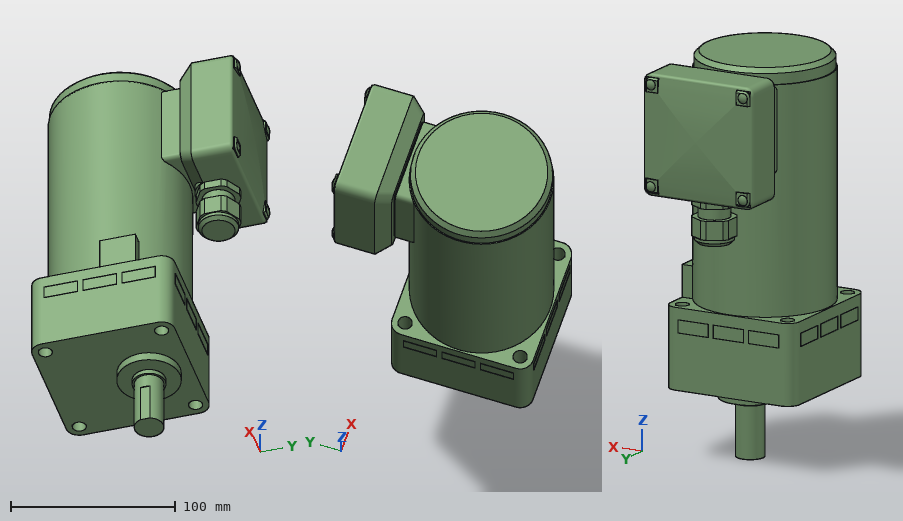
import cadquery as cq
import math

GEARHEAD_SIDE = 90.0
GEARHEAD_BOTTOM = 42.7
GEARHEAD_TOP = 95.0
GEARHEAD_CORNER_RADIUS = 8.3
MOUNT_HOLE_DIAMETER = 8.5
MOUNT_HOLE_SPACING = 73.5
PANEL_COUNT = 3
PANEL_WIDTH = 21.0
PANEL_HEIGHT = 8.3
PANEL_PITCH = 24.5
PANEL_CENTRE_Z = 83.0
PANEL_DEPTH = 0.3
SHAFT_OFFSET_Y = 18.0
SHAFT_DIAMETER = 18.0
SHAFT_COLLAR_DIAMETER = 20.5
SHAFT_COLLAR_BOTTOM = 34.1
BOSS_DIAMETER = 39.2
BOSS_BOTTOM = 37.1
FLAT_DEPTH = 0.5
FLAT_LENGTH = 25.0

MOTOR_TOP = 251.0
MOTOR_RADIUS = 44.0
CAP_RADIUS = 43.2
CAP_HEIGHT = 10.0
CAP_CHAMFER = 3.0
LEAD_BLOCK_WIDTH = 22.5
LEAD_BLOCK_HEIGHT = 20.5

OVERALL_DEPTH = 130.0
BOX_SIDE = 76.8
BOX_BACK_Y = 47.0
BOX_CORNER_RADIUS = 5.5
BOX_TAPER_DEPTH = 8.8
BOX_TAPER_INSET = 6.3
BOX_RIM_Y = 80.0
LID_EDGE_RADIUS = 2.0
LID_PAD_HEIGHT = 1.8
LID_PAD_CHAMFER = 1.3
LID_CORNER_INNER = 27.4
SCREW_HEAD_RADIUS = 3.3
SCREW_HEAD_HEIGHT = 1.0
SCREW_INSET = 6.3
NECK_SIDE = 55.5
NECK_CORNER_RADIUS = 3.0
GASKET_THICKNESS = 0.8
GASKET_INSET = 0.8

GLAND_Y = 62.0
GLAND_FLATS_APOTHEM = 12.8
GLAND_CORNER_RADIUS = 13.8
GLAND_SEAT_RADIUS = 14.3
GLAND_SEAT_HEIGHT = 12.5
GLAND_NECK_RADIUS = 10.0
LOCK_NUT_HEIGHT = 5.3
GLAND_NECK_HEIGHT = 7.5
CAP_NUT_HEIGHT = 12.0
GLAND_TIP_HEIGHT = 4.5
GLAND_TIP_RADIUS = 12.3
GLAND_TIP_CHAMFER = 2.3

BOX_TOP = MOTOR_TOP
BOX_CENTRE_Z = BOX_TOP - BOX_SIDE / 2
BOX_BOTTOM = BOX_TOP - BOX_SIDE
LID_TOP_Y = BOX_RIM_Y + LID_EDGE_RADIUS
LID_CROWN_Y = OVERALL_DEPTH - GEARHEAD_SIDE / 2
LID_PAD_Y = LID_TOP_Y + LID_PAD_HEIGHT
LID_CROWN_SIDE = BOX_SIDE - 2 * LID_EDGE_RADIUS


def cylinder(radius, bottom, top, y=0.0):
    """Vertical cylinder on the X = 0 plane between two heights."""
    return cq.Workplane("XY", origin=(0, y, bottom)).circle(radius).extrude(top - bottom)


def square_block(side, y_start, y_end):
    """Square block centred on the terminal box axis, running along +Y."""
    plane = cq.Plane(origin=(0, y_start, BOX_CENTRE_Z), xDir=(1, 0, 0), normal=(0, 1, 0))
    return cq.Workplane(plane).rect(side, side).extrude(y_end - y_start)


def panel_recesses():
    """Shallow rectangular recesses, one row of them on each side face."""
    recesses = cq.Workplane("XY")
    for i in range(PANEL_COUNT):
        x = (i - (PANEL_COUNT - 1) / 2) * PANEL_PITCH
        centre = (x, -GEARHEAD_SIDE / 2, PANEL_CENTRE_Z)
        recess = cq.Workplane("XY").box(PANEL_WIDTH, 2 * PANEL_DEPTH, PANEL_HEIGHT).translate(centre)
        for angle in (0, 90, 180, 270):
            recesses = recesses.add(recess.rotate((0, 0, 0), (0, 0, 1), angle))
    return recesses.combine()


def output_shaft():
    """Shaft with a collar and a flat on its +X side."""
    shaft = cylinder(SHAFT_DIAMETER / 2, 0, GEARHEAD_BOTTOM, SHAFT_OFFSET_Y)
    collar = cylinder(SHAFT_COLLAR_DIAMETER / 2, SHAFT_COLLAR_BOTTOM, GEARHEAD_BOTTOM, SHAFT_OFFSET_Y)
    flat = (
        cq.Workplane("XY", origin=(SHAFT_DIAMETER / 2 - FLAT_DEPTH, SHAFT_OFFSET_Y, 0))
        .box(SHAFT_DIAMETER, SHAFT_DIAMETER, FLAT_LENGTH, centered=(False, True, False))
    )
    return shaft.cut(flat).union(collar)


def make_gearhead():
    body = (
        cq.Workplane("XY", origin=(0, 0, GEARHEAD_BOTTOM))
        .rect(GEARHEAD_SIDE, GEARHEAD_SIDE)
        .extrude(GEARHEAD_TOP - GEARHEAD_BOTTOM)
        .edges("|Z")
        .fillet(GEARHEAD_CORNER_RADIUS)
    )
    holes = (
        cq.Workplane("XY", origin=(0, 0, GEARHEAD_BOTTOM))
        .rect(MOUNT_HOLE_SPACING, MOUNT_HOLE_SPACING, forConstruction=True)
        .vertices()
        .circle(MOUNT_HOLE_DIAMETER / 2)
        .extrude(GEARHEAD_TOP - GEARHEAD_BOTTOM)
    )
    body = body.cut(holes).cut(panel_recesses())
    boss = cylinder(BOSS_DIAMETER / 2, BOSS_BOTTOM, GEARHEAD_BOTTOM, SHAFT_OFFSET_Y)
    return body.union(boss).union(output_shaft())


def motor_can():
    """Cylindrical can with a slightly narrower chamfered end cap."""
    can = cylinder(MOTOR_RADIUS, GEARHEAD_TOP, MOTOR_TOP - CAP_HEIGHT)
    cap = cylinder(CAP_RADIUS, MOTOR_TOP - CAP_HEIGHT, MOTOR_TOP).faces(">Z").chamfer(CAP_CHAMFER)
    return can.union(cap)


def lead_block():
    """Small block between the can and the +X side of the gearhead outline."""
    return (
        cq.Workplane("XY", origin=(0, 0, GEARHEAD_TOP))
        .box(GEARHEAD_SIDE / 2, LEAD_BLOCK_WIDTH, LEAD_BLOCK_HEIGHT, centered=False)
    )


def box_neck():
    """Rounded square duct joining the can to the terminal box, with a narrower gasket at its end."""
    gasket_start_y = BOX_BACK_Y - GASKET_THICKNESS
    duct = square_block(NECK_SIDE, 0, gasket_start_y).edges("|Y").fillet(NECK_CORNER_RADIUS)
    gasket = square_block(NECK_SIDE - 2 * GASKET_INSET, gasket_start_y, BOX_BACK_Y)
    gasket = gasket.edges("|Y").fillet(NECK_CORNER_RADIUS - GASKET_INSET)
    return duct.union(gasket)


def box_shell():
    """Terminal box whose end toward the can tapers in on all four sides."""
    taper_end_y = BOX_BACK_Y + BOX_TAPER_DEPTH
    back_side = BOX_SIDE - 2 * BOX_TAPER_INSET
    back_outline = cq.Sketch().rect(back_side, back_side).vertices().fillet(BOX_CORNER_RADIUS)
    full_outline = cq.Sketch().rect(BOX_SIDE, BOX_SIDE).vertices().fillet(BOX_CORNER_RADIUS)
    plane = cq.Plane(origin=(0, BOX_BACK_Y, BOX_CENTRE_Z), xDir=(1, 0, 0), normal=(0, 1, 0))
    taper = (
        cq.Workplane(plane)
        .placeSketch(back_outline, full_outline.moved(cq.Location(cq.Vector(0, 0, BOX_TAPER_DEPTH))))
        .loft()
    )
    straight = square_block(BOX_SIDE, taper_end_y, LID_TOP_Y).edges("|Y").fillet(BOX_CORNER_RADIUS)
    straight = straight.faces(">Y").edges().fillet(LID_EDGE_RADIUS)
    return taper.union(straight)


def lid_corners(y_start, y_end):
    """Four square blocks filling the corners of the lid between two Y positions."""
    corner_side = BOX_SIDE / 2 - LID_CORNER_INNER
    spacing = 2 * LID_CORNER_INNER + corner_side
    plane = cq.Plane(origin=(0, y_start, BOX_CENTRE_Z), xDir=(1, 0, 0), normal=(0, 1, 0))
    return (
        cq.Workplane(plane)
        .rect(spacing, spacing, forConstruction=True)
        .vertices()
        .rect(corner_side, corner_side)
        .extrude(y_end - y_start)
    )


def lid_crown():
    """Two crossing arches that meet in a low dome, with its corners cut away."""
    half = LID_CROWN_SIDE / 2
    arch = (
        cq.Workplane("XY", origin=(0, 0, BOX_CENTRE_Z))
        .moveTo(-half, BOX_RIM_Y)
        .lineTo(-half, LID_TOP_Y)
        .threePointArc((0, LID_CROWN_Y), (half, LID_TOP_Y))
        .lineTo(half, BOX_RIM_Y)
        .close()
        .extrude(half, both=True)
    )
    axis_start = (0, 0, BOX_CENTRE_Z)
    axis_end = (0, 1, BOX_CENTRE_Z)
    crown = arch.intersect(arch.rotate(axis_start, axis_end, 90))
    return crown.cut(lid_corners(LID_TOP_Y, LID_CROWN_Y))


def lid_pads():
    """Raised pads, chamfered at their outer edges, that carry the screws in the lid corners."""
    raised = square_block(LID_CROWN_SIDE, LID_TOP_Y, LID_PAD_Y)
    raised = raised.edges("|Y").fillet(BOX_CORNER_RADIUS - LID_EDGE_RADIUS)
    raised = raised.faces(">Y").chamfer(LID_PAD_CHAMFER)
    return raised.intersect(lid_corners(LID_TOP_Y, LID_PAD_Y))


def screw_heads():
    """Four domed screw heads on the pads, each the cap of a sphere."""
    sphere_radius = (SCREW_HEAD_RADIUS**2 + SCREW_HEAD_HEIGHT**2) / (2 * SCREW_HEAD_HEIGHT)
    sphere_y = LID_PAD_Y + SCREW_HEAD_HEIGHT - sphere_radius
    offset = BOX_SIDE / 2 - SCREW_INSET
    above_pads = square_block(BOX_SIDE, LID_PAD_Y, LID_PAD_Y + SCREW_HEAD_HEIGHT)
    heads = cq.Workplane("XY")
    for x in (-offset, offset):
        for z in (-offset, offset):
            sphere = cq.Workplane("XY").sphere(sphere_radius)
            heads = heads.add(sphere.translate((x, sphere_y, BOX_CENTRE_Z + z)).intersect(above_pads))
    return heads.combine()


def gland_nut(bottom, height):
    """Hexagon with flats facing +X and -X and its corners turned round."""
    across_corners = 2 * GLAND_FLATS_APOTHEM / math.cos(math.radians(30))
    hexagon = (
        cq.Workplane("XY")
        .polygon(6, across_corners)
        .extrude(height)
        .rotate((0, 0, 0), (0, 0, 1), 30)
        .translate((0, GLAND_Y, bottom))
    )
    return hexagon.intersect(cylinder(GLAND_CORNER_RADIUS, bottom, bottom + height, GLAND_Y))


def cable_gland():
    """Gland hanging from the bottom of the terminal box."""
    lock_nut_bottom = BOX_BOTTOM - LOCK_NUT_HEIGHT
    cap_nut_top = lock_nut_bottom - GLAND_NECK_HEIGHT
    cap_nut_bottom = cap_nut_top - CAP_NUT_HEIGHT
    tip_bottom = cap_nut_bottom - GLAND_TIP_HEIGHT
    seat = cylinder(GLAND_SEAT_RADIUS, BOX_BOTTOM, BOX_BOTTOM + GLAND_SEAT_HEIGHT, GLAND_Y)
    neck = cylinder(GLAND_NECK_RADIUS, cap_nut_top, lock_nut_bottom, GLAND_Y)
    tip = (
        cylinder(GLAND_TIP_RADIUS, tip_bottom, cap_nut_bottom, GLAND_Y)
        .faces("<Z")
        .chamfer(GLAND_TIP_CHAMFER)
    )
    lock_nut = gland_nut(lock_nut_bottom, LOCK_NUT_HEIGHT)
    cap_nut = gland_nut(cap_nut_bottom, CAP_NUT_HEIGHT)
    return seat.union(lock_nut).union(neck).union(cap_nut).union(tip)


def make_motor():
    lid_details = lid_crown().union(lid_pads()).union(screw_heads())
    terminal_box = box_shell().union(lid_details).union(cable_gland())
    return motor_can().union(lead_block()).union(box_neck()).union(terminal_box)


gearhead = make_gearhead()
motor = make_motor()

result = cq.Compound.makeCompound([gearhead.solids().val(), motor.solids().val()])